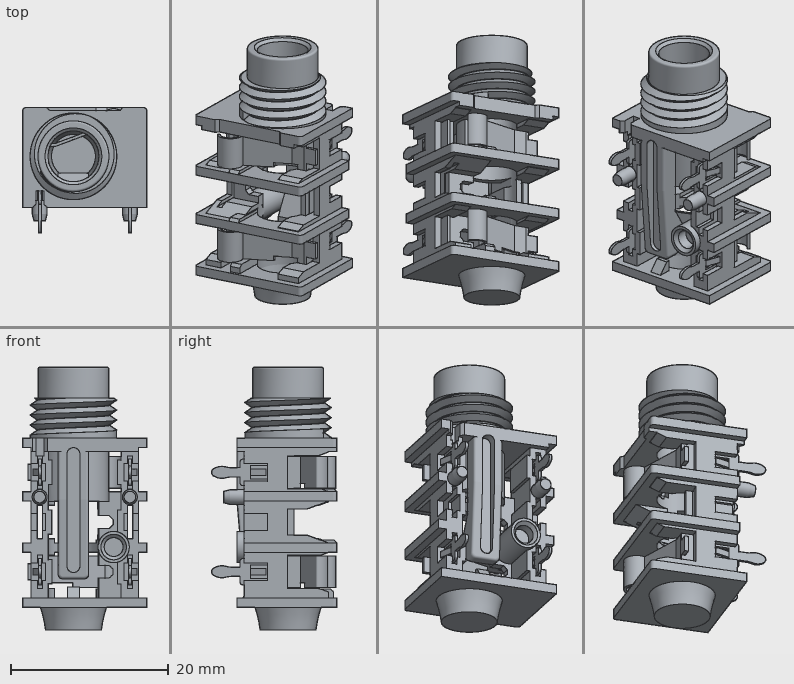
import cadquery as cq
import math


plate_width = 15.75
front_y = -6.5
back_y = 6.2
plate_thickness = 1.2
plate_corner_radius = 0.45
top_z = 21.4
top_rib_thickness = 0.5
barrel_x = -1.43

bay_pitch = 6.3
first_bay_z = 4.5
bay_z = [first_bay_z + bay_pitch * i for i in range(3)]
bay_half_height = 2.1
contact_bays = [bay_z[0], bay_z[2]]
open_bay = bay_z[1]
partition_spacing = 6.5
partition_z = [open_bay - partition_spacing / 2, open_bay + partition_spacing / 2]
partition_front_y = -0.43

wall_outer_x = 6.83
wall_inner_x = 4.6
wall_front_y = -5.55
wall_back_y = -0.05
wall_lining_outer_x = 5.3
wall_lining_back_y = 0.75
wall_x = (wall_outer_x + wall_inner_x) / 2
bulge_depth = 0.43
bulge_height = 3.1
blade_slot_width = 0.63
side_notch_height = 2.2
side_notch_inner_x = 4.95
side_notch_back_y = -2.63

sill_tip_y = 5.13
sill_slope = 0.37
sill_rise = 0.45
left_sill_inner_x = -3.83
deep_sill_height = 1.0
guide_rib_left_x = 1.43
guide_rib_right_x = 2.83
guide_rib_height = 0.4
bottom_rib_height = 1.13
bottom_rib_back_y = 5.75

sleeve_diameter = 9.0
sleeve_top_z = 30.4
thread_diameter = 11.0
thread_root_diameter = 9.2
thread_height = 5.05
thread_pitch = 1.25
thread_ridge_width = 1.2
thread_start_angle = 70
first_turn_sweep = 345
bore_diameter = 6.43
bore_mouth_diameter = 7.2
bore_end_diameter = 5.55
tube_bottom_z = 13.42
tube_back_y = 0.83
sleeve_edge_radius = 0.25

knob_height = 2.9
knob_top_diameter = 8.4
knob_mid_diameter = 7.6
knob_end_diameter = 7.1
knob_floor = 0.5
knob_overlap = 0.15

finger_width = 3.85
finger_bend_z = 13.6
finger_end_z = 3.6
finger_end_y = -5.63
finger_back_y = -4.15
finger_tip_y = -2.13
finger_edge_radius = 0.33
finger_corner_radius = 0.55
groove_width = 1.63
groove_top_z = 20.2
groove_bottom_z = 4.4
groove_floor_y = -5.15

panel_left_x = 1.63
panel_notch_depth = 1.95
panel_notch_height = 1.6
panel_notch_bevel = 0.5
boss_x = 3.65
boss_z = 7.63
boss_diameter = 3.95
boss_mouth_diameter = 3.23
boss_hole_diameter = 2.4
boss_hole_depth = 2.0
boss_mouth_depth = 0.5
overlap = 0.33

peg_z = 13.95
peg_diameter = 1.9
peg_end_diameter = 1.45
peg_end_y = -8.15
peg_taper_length = 0.83

contact_shift = 0.03
blade_thickness = 0.35
blade_height = 3.35
blade_front_y = -6.1
blade_corner_radius = 0.4
overall_depth = 15.9
tail_tip_y = back_y - overall_depth
tail_bulge_y = -8.23
tail_neck_y = -7.15
tail_neck_half = 0.6
tail_bulge_half = 0.75
tail_tip_half = 0.5
tail_tip_length = 0.33
lance_front_y = -4.75
lance_window_height = 1.73
lance_height = 0.83
lance_reach = 0.65
lance_gap = 0.15
tab_outer_x = -7.2
tab_front_y = 1.05
tab_back_y = 1.55
tab_height = 2.05
spring_height = 4.03


def box(x0, x1, y0, y1, z0, z1):
    return cq.Workplane("XY").box(x1 - x0, y1 - y0, z1 - z0, centered=False).translate((x0, y0, z0))


def cylinder_z(diameter, z0, z1):
    return cq.Workplane("XY", origin=(barrel_x, 0, z0)).circle(diameter / 2).extrude(z1 - z0)


def cone_z(start_diameter, end_diameter, z0, z1):
    return (cq.Workplane("XY", origin=(barrel_x, 0, z0)).circle(start_diameter / 2)
            .workplane(offset=z1 - z0).circle(end_diameter / 2).loft(combine=True))


def cylinder_y(x, z, diameter, y0, y1):
    """Round bar along Y, from y0 forward (toward -Y) to y1."""
    return cq.Workplane("XZ", origin=(x, y0, z)).circle(diameter / 2).extrude(y0 - y1)


def cone_y(x, z, start_diameter, end_diameter, y0, y1):
    return (cq.Workplane("XZ", origin=(x, y0, z)).circle(start_diameter / 2)
            .workplane(offset=y0 - y1).circle(end_diameter / 2).loft(combine=True))


def side_profile(points, x0, x1):
    """Extrude a closed (Y, Z) outline from x0 to x1."""
    return cq.Workplane("YZ", origin=(x0, 0, 0)).polyline(points).close().extrude(x1 - x0)


def mirrored(shape):
    return shape.mirror("YZ")


def plate(z_bottom, plate_front_y):
    half = plate_width / 2
    slab = box(-half, half, plate_front_y, back_y, z_bottom, z_bottom + plate_thickness)
    return slab.edges("|Z and >Y").fillet(plate_corner_radius)


def side_wall():
    """Left wall with its inner bulges; slots and notches are cut later."""
    wall = box(-wall_outer_x, -wall_inner_x, wall_front_y, wall_back_y, 0, top_z - plate_thickness)
    for z in bay_z:
        wall = wall.union(box(-wall_inner_x, -wall_inner_x + bulge_depth, wall_front_y, wall_back_y,
                              z - bulge_height / 2, z + bulge_height / 2))
    return wall.union(box(-wall_lining_outer_x, -wall_inner_x, wall_back_y, wall_lining_back_y,
                          0, top_z - plate_thickness))


def sill(x0, x1, root_z, height, rise, upward):
    """Block behind a wall whose free face ramps down to the plate at the back."""
    sign = 1 if upward else -1
    ramp_y = sill_tip_y - rise / sill_slope
    tip_z = root_z + sign * height
    buried_z = root_z - sign * plate_thickness / 2
    outline = [(wall_back_y, buried_z), (sill_tip_y, buried_z), (sill_tip_y, tip_z - sign * rise),
               (ramp_y, tip_z), (wall_back_y, tip_z)]
    return side_profile(outline, x0, x1)


def bay_sills(z):
    """Sills on the floor and ceiling of one bay, left and right."""
    half_plate = plate_thickness / 2
    index = bay_z.index(z)
    floor_z = ([plate_thickness] + [p + half_plate for p in partition_z])[index]
    ceiling_z = ([p - half_plate for p in partition_z] + [top_z - plate_thickness - top_rib_thickness])[index]
    right_inner_x = panel_left_x if z == open_bay else wall_inner_x
    body = cq.Workplane("XY")
    for root_z, upward in ((floor_z, True), (ceiling_z, False)):
        height = abs(z - root_z) - bay_half_height
        rise = min(height, sill_rise)
        right_height = deep_sill_height if z == open_bay else height
        right_rise = deep_sill_height if z == open_bay else rise
        body = body.add(sill(-wall_outer_x, left_sill_inner_x, root_z, height, rise, upward))
        body = body.add(sill(right_inner_x, wall_outer_x, root_z, right_height, right_rise, upward))
    return body.combine()


def guide_rib(root_z, height, tip_y):
    """Low rib with a bevelled back corner on the right half of a plate."""
    bevel = guide_rib_height
    top = root_z + height
    buried_z = root_z - plate_thickness / 2
    outline = [(0, buried_z), (tip_y, buried_z), (tip_y, top - bevel), (tip_y - bevel, top), (0, top)]
    return side_profile(outline, guide_rib_left_x, guide_rib_right_x)


def coil(profile, start_angle, end_angle):
    """Sweep an (R, Z) profile around the barrel; its Z = 0 meets the top plate at thread_start_angle."""
    climb = thread_pitch * (end_angle - start_angle) / 360
    start_z = top_z + thread_pitch * (start_angle - thread_start_angle) / 360
    helix = cq.Workplane(cq.Wire.makeHelix(thread_pitch, climb, thread_root_diameter / 2))
    swept = cq.Workplane("XZ").polyline(profile).close().sweep(helix, isFrenet=True)
    return swept.rotate((0, 0, 0), (0, 0, 1), start_angle).translate((barrel_x, 0, start_z))


def thread():
    """Right-hand V ridge on a core; its first turn is solid down to the top plate."""
    end_z = top_z + thread_height
    crest = thread_diameter / 2
    root = thread_root_diameter / 2
    inner = root - 0.25
    foot = root + 0.03
    half = thread_ridge_width / 2
    ridge_profile = [(inner, -half), (foot, -half), (crest, 0), (foot, half), (inner, half)]
    ridge_start_angle = thread_start_angle - 180
    ridge_turns = math.ceil(thread_height / thread_pitch) + 1
    ridge = coil(ridge_profile, ridge_start_angle, ridge_start_angle + 360 * ridge_turns)
    fill_radius = crest - 0.015
    fill_profile = [(inner, -thread_pitch), (fill_radius, -thread_pitch), (fill_radius, 0), (inner, 0)]
    fill = coil(fill_profile, thread_start_angle, thread_start_angle + first_turn_sweep)
    core = cylinder_z(thread_root_diameter, top_z - thread_pitch, end_z + thread_pitch)
    layer = cylinder_z(2 * thread_diameter, top_z, end_z)
    return core.union(ridge).intersect(layer).union(fill.intersect(layer))


def knob():
    """Rounded cone below the bottom plate."""
    return (cq.Workplane("XZ", origin=(barrel_x, 0, 0))
            .moveTo(0, knob_overlap)
            .lineTo(knob_top_diameter / 2, knob_overlap).lineTo(knob_top_diameter / 2, 0)
            .threePointArc((knob_mid_diameter / 2, -knob_height / 2), (knob_end_diameter / 2, -knob_height))
            .lineTo(0, -knob_height).close()
            .revolve(360, (0, 0, 0), (0, 1, 0)))


def barrel_bore():
    mouth_depth = (bore_mouth_diameter - bore_diameter) / 2
    bore = cylinder_z(bore_diameter, 0, sleeve_top_z)
    bore = bore.union(cone_z(bore_diameter, bore_mouth_diameter, sleeve_top_z - mouth_depth, sleeve_top_z))
    return bore.union(cone_z(bore_end_diameter, bore_diameter, knob_floor - knob_height, 0))


def finger():
    """Springy front finger with a bump at its lower end and a long rounded groove."""
    root_z = top_z - plate_thickness
    bump_low_z = 5.33
    bump_high_z = 6.65
    bump_start_z = 10.0
    outline = [(front_y, root_z), (front_y, finger_bend_z), (finger_end_y, finger_end_z),
               (finger_back_y, finger_end_z), (finger_tip_y, bump_low_z), (finger_tip_y, bump_high_z),
               (finger_back_y, bump_start_z), (finger_back_y, root_z)]
    left = barrel_x - finger_width / 2
    body = side_profile(outline, left, left + finger_width)
    body = body.edges("<Z").edges("|Y").fillet(finger_corner_radius)
    front_edges = cq.selectors.BoxSelector(
        (left - 0.33, front_y - 0.33, finger_end_z - 0.33),
        (left + finger_width + 0.33, finger_end_y + 0.15, root_z - 0.33))
    return body.edges(front_edges).edges("not(|X and (not <Z))").fillet(finger_edge_radius)


def finger_groove():
    middle_z = (groove_top_z + groove_bottom_z) / 2
    return (cq.Workplane("XZ", origin=(barrel_x, groove_floor_y, middle_z))
            .slot2D(groove_top_z - groove_bottom_z, groove_width, 90).extrude(groove_floor_y - front_y))


def panel():
    """Upright panel on the right, notched on its free edge at the lower two bays."""
    body = box(panel_left_x, wall_inner_x, partition_front_y, wall_lining_back_y,
               0, partition_z[1] + plate_thickness / 2)
    for z in bay_z[:2]:
        notch = box(panel_left_x, panel_left_x + panel_notch_depth, partition_front_y, wall_lining_back_y,
                    z - panel_notch_height / 2, z + panel_notch_height / 2)
        body = body.cut(notch.edges("|Y and >X").chamfer(panel_notch_bevel))
    return body


def boss_hole():
    mouth_end_y = front_y + boss_mouth_depth
    hole = cylinder_y(boss_x, boss_z, boss_hole_diameter, front_y + boss_hole_depth, front_y)
    return hole.union(cone_y(boss_x, boss_z, boss_hole_diameter, boss_mouth_diameter,
                             mouth_end_y, front_y))


def peg(x):
    taper_y = peg_end_y + peg_taper_length
    straight = cylinder_y(x, peg_z, peg_diameter, wall_front_y + overlap, taper_y)
    return straight.union(cone_y(x, peg_z, peg_diameter, peg_end_diameter, taper_y, peg_end_y))


def foot_wedge():
    """Small ramp on the bottom plate below the finger."""
    wedge_width = 1.55
    wedge_top_z = 2.6
    toe_y = -5.75
    top_front_y = -4.5
    heel_y = -4.0
    buried_z = plate_thickness - overlap
    outline = [(toe_y, plate_thickness), (top_front_y, wedge_top_z), (heel_y, wedge_top_z),
               (heel_y, buried_z), (toe_y, buried_z)]
    return side_profile(outline, barrel_x - wedge_width / 2, barrel_x + wedge_width / 2)


def blade_slot():
    """Front slot in the top plate for inserting the left-hand blade, with a flared mouth."""
    half = 0.5
    flare = 0.43
    slot_back_y = -4.35
    points = [(-half, slot_back_y), (-half, front_y + flare), (-half - flare, front_y),
              (half + flare, front_y), (half, front_y + flare), (half, slot_back_y)]
    slot_bottom_z = bay_z[2] + bay_half_height
    return (cq.Workplane("XY", origin=(contact_shift - wall_x, 0, slot_bottom_z))
            .polyline(points).close().extrude(top_z - slot_bottom_z))


def back_notch():
    """Shallow notch with slanted ends along the back edge of the top plate."""
    half_width = 4.83
    depth = 0.4
    points = [(-half_width, back_y), (-half_width + depth, back_y - depth),
              (half_width - depth, back_y - depth), (half_width, back_y)]
    height = plate_thickness + top_rib_thickness
    return cq.Workplane("XY", origin=(0, 0, top_z - height)).polyline(points).close().extrude(height)


def side_notches():
    """Notches in the front outer corner of the left wall, one per bay."""
    cuts = cq.Workplane("XY")
    for z in bay_z:
        cuts = cuts.add(box(-wall_outer_x, -side_notch_inner_x, wall_front_y, side_notch_back_y,
                            z - side_notch_height / 2, z + side_notch_height / 2))
    return cuts.combine()


def blade_slots(x):
    """Upright slots in one wall; the slot of the open bay passes right through."""
    half = blade_slot_width / 2
    cuts = cq.Workplane("XY")
    for z in bay_z:
        slot_back_y = back_y if z == open_bay else side_notch_back_y
        cuts = cuts.add(box(x - half, x + half, wall_front_y, slot_back_y,
                            z - bay_half_height, z + bay_half_height))
    return cuts.combine()


def contact(z):
    """Left-hand contact about X = 0: blade with a lance, and a solder tail swelling before its tip."""
    x0 = -blade_thickness / 2
    x1 = x0 + blade_thickness
    blade = box(x0, x1, blade_front_y, tab_back_y, z - blade_height / 2, z + blade_height / 2)
    blade = blade.edges("|X and <Y").fillet(blade_corner_radius)
    tail = (cq.Workplane("YZ", origin=(x0, 0, z))
            .moveTo(blade_front_y + overlap, -tail_neck_half).lineTo(tail_neck_y, -tail_neck_half)
            .spline([(tail_bulge_y, -tail_bulge_half), (tail_tip_y + tail_tip_length, -tail_tip_half)],
                    tangents=[(-1, 0), (-1, 0.6)], includeCurrent=True)
            .threePointArc((tail_tip_y, 0), (tail_tip_y + tail_tip_length, tail_tip_half))
            .spline([(tail_bulge_y, tail_bulge_half), (tail_neck_y, tail_neck_half)],
                    tangents=[(1, 0.6), (1, 0)], includeCurrent=True)
            .lineTo(blade_front_y + overlap, tail_neck_half).close().extrude(blade_thickness))
    blade = blade.union(box(x0, x1, side_notch_back_y, tab_back_y,
                            z - spring_height / 2, z + spring_height / 2))
    window = box(x0, x1, lance_front_y, side_notch_back_y,
                 z - lance_window_height / 2, z + lance_window_height / 2)
    lance = side_lance(x0, x1, z)
    return blade.union(tail).cut(window).union(lance)


def side_lance(x0, x1, z):
    """Tongue bent outward from the front end of the lance window."""
    tip_y = side_notch_back_y - lance_gap
    points = [(x1, lance_front_y), (x0, lance_front_y), (x0 - lance_reach, tip_y), (x1 - lance_reach, tip_y)]
    return (cq.Workplane("XY", origin=(0, 0, z - lance_height / 2))
            .polyline(points).close().extrude(lance_height))


def contact_spring(z):
    """Leaf spring from the left wall across the bore, ending in a rolled loop."""
    start = (contact_shift - wall_x, 1.35)
    knee = (-3.75, 1.43)
    loop_start = (2.4, 3.73)
    loop_side = (2.73, 5.53)
    loop_end = (4.85, 5.2)
    path = cq.Workplane("XY").moveTo(*start).lineTo(*knee).lineTo(*loop_start)
    path = path.threePointArc(loop_side, loop_end)
    strip = path.offset2D(blade_thickness / 2).extrude(spring_height)
    strip = strip.translate((0, 0, z - spring_height / 2))
    step_x = -1.53
    step_height = 0.6
    bottom_z = z - spring_height / 2
    relief = box(-wall_inner_x, step_x, 0, back_y, bottom_z, bottom_z + step_height)
    tab = box(tab_outer_x, -wall_x, tab_front_y, tab_back_y, z - tab_height / 2, z + tab_height / 2)
    return strip.cut(relief).union(tab)


body = plate(0, front_y).union(plate(top_z - plate_thickness, front_y))
body = body.union(box(-wall_outer_x, wall_outer_x, front_y, back_y,
                      top_z - plate_thickness - top_rib_thickness, top_z - plate_thickness))
for z in partition_z:
    shelf = plate(z - plate_thickness / 2, wall_front_y)
    front_opening = box(-wall_inner_x, wall_inner_x, wall_front_y, partition_front_y,
                        z - plate_thickness / 2, z + plate_thickness / 2)
    body = body.union(shelf.cut(front_opening))
body = body.union(side_wall()).union(mirrored(side_wall()))
for z in bay_z:
    body = body.union(bay_sills(z))
body = body.union(guide_rib(plate_thickness, bottom_rib_height, bottom_rib_back_y))
for z in partition_z:
    body = body.union(guide_rib(z + plate_thickness / 2, guide_rib_height, back_y))

sleeve = cylinder_z(sleeve_diameter, tube_bottom_z, sleeve_top_z)
sleeve = sleeve.faces(">Z").edges().fillet(sleeve_edge_radius)
tube_opening = box(barrel_x - sleeve_diameter, barrel_x + sleeve_diameter, tube_back_y, sleeve_diameter,
                   tube_bottom_z, top_z - plate_thickness)
body = body.union(sleeve.cut(tube_opening)).union(thread()).union(knob()).union(panel())
body = body.union(cylinder_y(boss_x, boss_z, boss_diameter, partition_front_y + overlap, front_y))

body = body.cut(barrel_bore()).cut(boss_hole())
body = body.cut(blade_slot()).cut(back_notch())
for x in (-wall_x, wall_x):
    body = body.cut(blade_slots(x + contact_shift))
body = body.cut(side_notches()).cut(mirrored(side_notches()))

body = body.union(finger()).cut(finger_groove()).union(foot_wedge())
body = body.union(peg(-wall_x)).union(peg(wall_x))
for z in contact_bays:
    left_contact = contact(z).translate((contact_shift - wall_x, 0, 0))
    right_contact = mirrored(contact(z)).translate((contact_shift + wall_x, 0, 0))
    body = body.union(left_contact).union(right_contact).union(contact_spring(z))

result = body